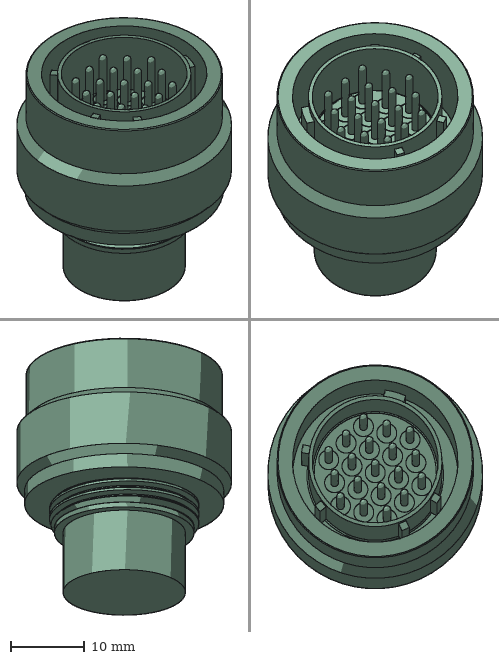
import cadquery as cq
import math

total_height = 32.05
barrel_top = 8.75
flange_top = 9.45
collar_bottom = 13.0
collar_top = 14.95
grip_bottom = 16.05
grip_top = 23.6
sleeve_bottom = 24.75

barrel_radius = 8.35
flange_radius = 9.53
collar_radius = 13.6
grip_radius = 14.65
sleeve_radius = 13.4
sleeve_edge_chamfer = 0.15

thread_pitch = 1.27
thread_root_radius = 9.55
thread_crest_radius = 10.2
thread_crest_width = 0.35
thread_flank_angle = 30
thread_crest_height = 9.95
thread_root_overlap = 0.1

insert_depth = 8.5
insert_face = total_height - insert_depth
recess_depth = 10.0
recess_floor = total_height - recess_depth
sleeve_bore_radius = 11.27
shell_radius = 9.1
shell_base_flare = 0.22
shell_bore_radius = 8.57
insert_radius = 8.33
insert_gap_depth = 0.2

key_outer_radius = 10.15
key_setback = 0.95
master_key_angle = 90
master_key_width = 2.9
minor_key_width = 1.1
minor_key_offsets = (105, 140, 215, 265)

pin_pitch = 3.3
pin_row_counts = (3, 4, 5, 4, 3)
pin_radius = 0.52
pin_tip_setback = 1.15
boss_radius = 1.36
boss_height = 0.1


def cylinder(radius, bottom, top):
    return cq.Workplane("XY").workplane(offset=bottom).circle(radius).extrude(top - bottom)


def make_body():
    """Solid of revolution for the barrel, flange, thread core, grip ring and sleeve."""
    profile = [
        (0, 0),
        (barrel_radius, 0),
        (barrel_radius, barrel_top),
        (flange_radius, barrel_top),
        (flange_radius, flange_top),
        (thread_root_radius, flange_top),
        (thread_root_radius, collar_bottom),
        (collar_radius, collar_bottom),
        (collar_radius, collar_top),
        (grip_radius, grip_bottom),
        (grip_radius, grip_top),
        (sleeve_radius, sleeve_bottom),
        (sleeve_radius, total_height - sleeve_edge_chamfer),
        (sleeve_radius - sleeve_edge_chamfer, total_height),
        (0, total_height),
    ]
    return cq.Workplane("XZ").polyline(profile).close().revolve(360, (0, 0), (0, 1))


def make_thread():
    """Helical ridge, trimmed to a 45 degree lead-in below and the collar face above."""
    root_radius = thread_root_radius - thread_root_overlap
    depth = thread_crest_radius - root_radius
    half_crest = thread_crest_width / 2
    half_root = half_crest + depth * math.tan(math.radians(thread_flank_angle))
    start = thread_crest_height - thread_pitch
    turns = math.ceil((collar_bottom - start) / thread_pitch) + 1

    helix = cq.Wire.makeHelix(thread_pitch, turns * thread_pitch, root_radius)
    path = cq.Workplane(obj=helix.translate(cq.Vector(0, 0, start)))
    ridge = (
        cq.Workplane("XZ")
        .polyline([
            (root_radius, start - half_root),
            (thread_crest_radius, start - half_crest),
            (thread_crest_radius, start + half_crest),
            (root_radius, start + half_root),
        ])
        .close()
        .sweep(path, isFrenet=True)
    )

    trim_radius = thread_crest_radius + thread_root_overlap
    envelope = (
        cq.Workplane("XZ")
        .polyline([
            (0, flange_top),
            (flange_radius, flange_top),
            (trim_radius, flange_top + trim_radius - flange_radius),
            (trim_radius, collar_bottom),
            (0, collar_bottom),
        ])
        .close()
        .revolve(360, (0, 0), (0, 1))
    )
    return ridge.intersect(envelope)


def make_socket_cut():
    """Annular recess around the shell, plus the shell bore with a moat round the insert."""
    shell_profile = [
        (0, recess_floor),
        (shell_radius + shell_base_flare, recess_floor),
        (shell_radius, recess_floor + shell_base_flare),
        (shell_radius, total_height),
        (0, total_height),
    ]
    shell = cq.Workplane("XZ").polyline(shell_profile).close().revolve(360, (0, 0), (0, 1))
    recess = cylinder(sleeve_bore_radius, recess_floor, total_height).cut(shell)
    insert = cylinder(insert_radius, insert_face - insert_gap_depth, insert_face)
    bore = cylinder(shell_bore_radius, insert_face - insert_gap_depth, total_height).cut(insert)
    return recess.union(bore)


def make_key(angle, width):
    """Key standing on the recess floor, its outer face concentric with the shell."""
    key_top = total_height - key_setback
    inner_radius = (shell_bore_radius + shell_radius) / 2
    bar = (
        cq.Workplane("XY")
        .workplane(offset=recess_floor)
        .center(key_outer_radius / 2, 0)
        .rect(key_outer_radius, width)
        .extrude(key_top - recess_floor)
    )
    ring = cylinder(key_outer_radius, recess_floor, key_top).cut(cylinder(inner_radius, recess_floor, key_top))
    return bar.intersect(ring).rotate((0, 0, 0), (0, 0, 1), angle)


def make_pin(x, y):
    """Round-tipped contact pin on a low boss of the insert."""
    embed = insert_gap_depth
    pin = cylinder(pin_radius, insert_face - embed, total_height - pin_tip_setback - pin_radius)
    tip = cq.Workplane("XY").sphere(pin_radius).translate((0, 0, total_height - pin_tip_setback - pin_radius))
    boss = cylinder(boss_radius, insert_face - embed, insert_face + boss_height)
    return boss.union(pin).union(tip).translate((x, y, 0))


def pin_positions():
    row_spacing = pin_pitch * math.sqrt(3) / 2
    middle_row = (len(pin_row_counts) - 1) / 2
    positions = []
    for row, count in enumerate(pin_row_counts):
        for column in range(count):
            x = (column - (count - 1) / 2) * pin_pitch
            y = (row - middle_row) * row_spacing
            positions.append((x, y))
    return positions


result = make_body().union(make_thread()).cut(make_socket_cut())

result = result.union(make_key(master_key_angle, master_key_width))
for offset in minor_key_offsets:
    result = result.union(make_key(master_key_angle - offset, minor_key_width))

for x, y in pin_positions():
    result = result.union(make_pin(x, y))